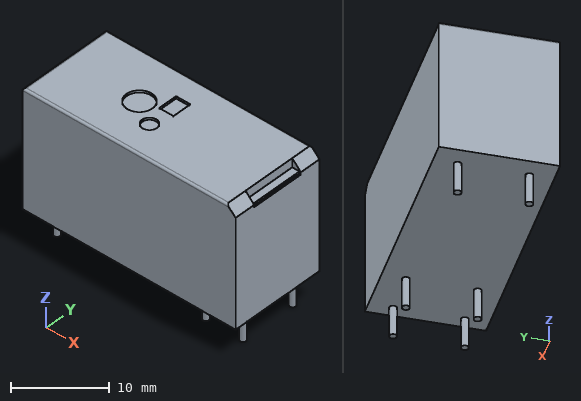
import cadquery as cq

length = 29.0
width = 12.7
total_height = 19.3
pin_length = 3.57
body_height = total_height - pin_length
edge_radius = 0.3
end_chamfer = 1.2

notch_width = 7.05
notch_floor = body_height - end_chamfer
step_width = 0.2
step_drop = 0.3

recess_depth = 0.3
large_diameter = 3.5
large_center = (10.2, 0.0)
small_diameter = 2.0
small_center = (13.4, -2.03)
window_length = 1.95
window_width = 2.55
window_center = (13.4, 1.8)

pin_diameter = 0.8
pin_row_spacing = 7.5
pin_columns = (2.38, 22.62, 27.67)


def make_housing():
    """Block with three rounded top edges and a chamfered top edge at the right end."""
    block = cq.Workplane("XY").box(length, width, body_height, centered=(False, True, False))
    block = block.faces(">Z").edges("<X or <Y or >Y").fillet(edge_radius)
    chamfer_wedge = (
        cq.Workplane("XZ")
        .moveTo(length - end_chamfer, body_height)
        .line(end_chamfer, 0)
        .line(0, -end_chamfer)
        .close()
        .extrude(width / 2, both=True)
    )
    return block.cut(chamfer_wedge)


def make_notch():
    """Cutter with a flat floor at the foot of the chamfer and a lower step at the outer face."""
    return (
        cq.Workplane("XZ")
        .moveTo(length - end_chamfer, body_height)
        .lineTo(length - end_chamfer, notch_floor)
        .lineTo(length - step_width, notch_floor)
        .line(0, -step_drop)
        .line(step_width, 0)
        .lineTo(length, body_height)
        .close()
        .extrude(notch_width / 2, both=True)
    )


def recess(sketch):
    """Shallow cutter that reaches down from the top face."""
    return sketch.extrude(-recess_depth)


def make_pins():
    """Two rows of round pins below the housing."""
    points = [(x, side * pin_row_spacing / 2) for x in pin_columns for side in (-1, 1)]
    return cq.Workplane("XY").pushPoints(points).circle(pin_diameter / 2).extrude(-pin_length)


top_plane = cq.Workplane("XY", origin=(0, 0, body_height))
large_recess = recess(top_plane.center(*large_center).circle(large_diameter / 2))
small_recess = recess(top_plane.center(*small_center).circle(small_diameter / 2))
window = recess(top_plane.center(*window_center).rect(window_length, window_width))

housing = make_housing().cut(make_notch()).cut(large_recess).cut(small_recess).cut(window)
result = housing.union(make_pins())